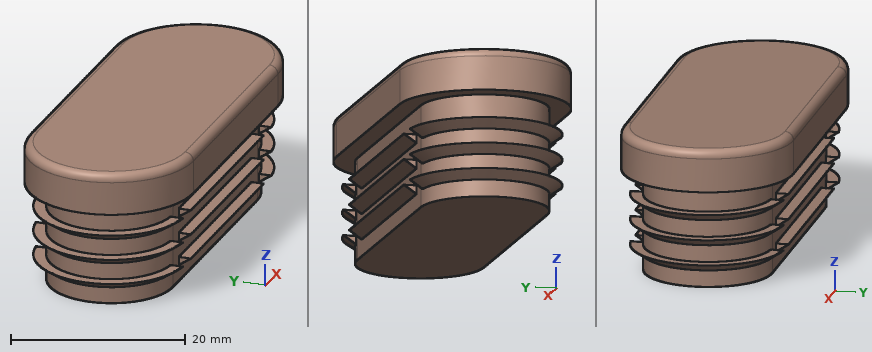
import cadquery as cq
import math

length = 48.0
width = 20.0
height = 17.0
head_height = 5.0
head_edge_radius = 1.0

stem_inset = 2.5
stem_length = length - 2 * stem_inset
stem_width = width - 2 * stem_inset
stem_height = height - head_height

rib_count = 3
rib_pitch = stem_height / (rib_count + 1)
rib_height = 1.0
rib_reach = 1.5
rib_flare_angle = math.degrees(math.atan2(rib_reach, rib_height))

side_rib_length = 24.1
end_rib_start = (length - width) / 2 + 0.65
rib_gap = end_rib_start - side_rib_length / 2
rib_gap_center = end_rib_start - rib_gap / 2


def make_head():
    head = cq.Workplane("XY").workplane(offset=stem_height).slot2D(length, width).extrude(head_height)
    return head.faces(">Z").edges().fillet(head_edge_radius)


def make_stem():
    return cq.Workplane("XY").slot2D(stem_length, stem_width).extrude(stem_height)


def make_rib(top):
    """Wedge-shaped rib with its flat upper face at the given height."""
    bottom = top - rib_height
    ring = (
        cq.Workplane("XY")
        .workplane(offset=bottom)
        .slot2D(stem_length, stem_width)
        .extrude(rib_height, taper=-rib_flare_angle)
    )
    gaps = (
        cq.Workplane("XY")
        .workplane(offset=bottom)
        .pushPoints([(-rib_gap_center, 0), (rib_gap_center, 0)])
        .rect(rib_gap, width)
        .extrude(rib_height)
    )
    return ring.cut(gaps)


result = make_stem().union(make_head())
for rib_number in range(1, rib_count + 1):
    result = result.union(make_rib(rib_number * rib_pitch))